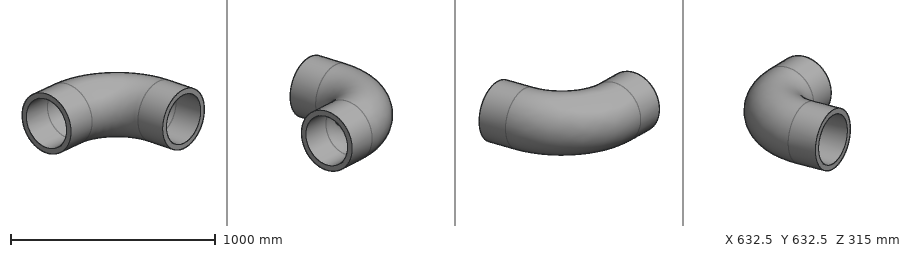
import cadquery as cq

overall_length = 632.5
outer_diameter = 315.0
bore_diameter = 258.0
bend_radius = 316.0
bend_angle = 90.0
spigot_length = overall_length - bend_radius - outer_diameter / 2


def pipe_section(plane):
    """Ring-shaped pipe section centred on the plane's origin."""
    return cq.Workplane(plane).circle(outer_diameter / 2).circle(bore_diameter / 2)


bend_start = cq.Plane(origin=(0, 0, 0), xDir=(1, 0, 0), normal=(0, -1, 0))
bend_end = cq.Plane(origin=(bend_radius, bend_radius, 0), xDir=(0, 1, 0), normal=(1, 0, 0))

bend = pipe_section(bend_start).revolve(bend_angle, (bend_radius, 0), (bend_radius, -1))

front_spigot = pipe_section(bend_start).extrude(spigot_length)
side_spigot = pipe_section(bend_end).extrude(spigot_length)

result = bend.union(front_spigot).union(side_spigot)